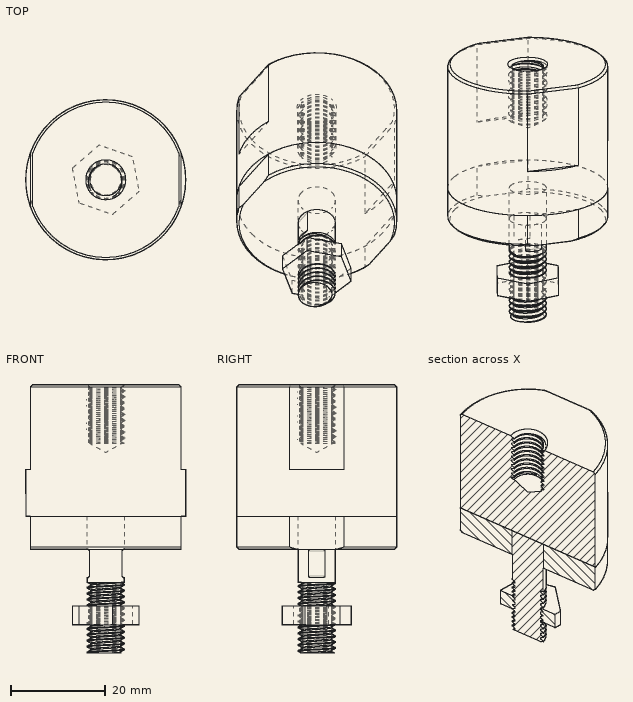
import cadquery as cq
import math

housing_height = 28.0
cap_height = 7.0
overall_height = 57.0
shank_exposed = 7.0

cap_top_z = -housing_height
cap_bottom_z = cap_top_z - cap_height
thread_top_z = cap_bottom_z - shank_exposed
stud_bottom_z = -overall_height

body_diameter = 34.0
body_across_flats = 32.0
housing_flat_height = 18.0
edge_chamfer = 0.5

pitch = 1.25
flank_half_angle = math.radians(30)
outer_major = 7.87
outer_pitch_diameter = 7.10
outer_minor = 6.45
inner_major = 8.17
inner_pitch_diameter = 7.19
inner_minor = 6.78
cut_past_surface = 0.1
groove_offset = 0.125

countersink_diameter = 8.5
cone_half_angle = math.radians(60)
tapped_length = 12.0

wrench_across_flats = 7.0
wrench_flat_length = 6.0
wrench_flat_fillet = 0.33

nut_across_flats = 13.0
nut_height = 4.0
thread_below_nut = 6.0
nut_bottom_z = stud_bottom_z + thread_below_nut
nut_corner_angle = 40.9


def cylinder(diameter, bottom_z, top_z):
    return cq.Workplane().workplane(offset=bottom_z).circle(diameter / 2).extrude(top_z - bottom_z)


def flat_sided_bar(across_flats, bottom_z, top_z):
    """A wide bar whose -X and +X faces are a pair of flats."""
    height = top_z - bottom_z
    centre_z = (top_z + bottom_z) / 2
    return cq.Workplane().box(across_flats, 2 * body_diameter, height).translate((0, 0, centre_z))


def helical_ridge(inner_radius, inner_width, outer_radius, outer_width, start_z, height):
    """A right-hand helical strip of trapezoid section, centred on start_z at the +X side."""
    corners = [
        (inner_radius, -inner_width / 2),
        (outer_radius, -outer_width / 2),
        (outer_radius, outer_width / 2),
        (inner_radius, inner_width / 2),
    ]
    edges = [
        cq.Wire.makeHelix(pitch, height, radius).translate(cq.Vector(0, 0, start_z + offset))
        for radius, offset in corners
    ]
    next_edges = edges[1:] + edges[:1]
    sides = [cq.Face.makeRuledSurface(edge, other) for edge, other in zip(edges, next_edges)]
    start_outline = cq.Wire.makePolygon([edge.startPoint() for edge in edges], close=True)
    end_outline = cq.Wire.makePolygon([edge.endPoint() for edge in edges], close=True)
    ends = [cq.Face.makeFromWires(start_outline), cq.Face.makeFromWires(end_outline)]
    return cq.Workplane(cq.Solid.makeSolid(cq.Shell.makeShell(sides + ends)))


def outer_thread_groove(start_z, height):
    """Groove that cuts a male thread: narrow at the root, opening outwards."""
    root = outer_minor / 2
    mouth = outer_major / 2 + cut_past_surface

    def width(radius):
        return pitch / 2 + 2 * (radius - outer_pitch_diameter / 2) * math.tan(flank_half_angle)

    return helical_ridge(root, width(root), mouth, width(mouth), start_z, height)


def inner_thread_groove(start_z, height):
    """Groove that cuts a female thread: narrow at the root, opening inwards."""
    root = inner_major / 2
    mouth = inner_minor / 2 - cut_past_surface

    def width(radius):
        return pitch / 2 + 2 * (inner_pitch_diameter / 2 - radius) * math.tan(flank_half_angle)

    return helical_ridge(mouth, width(mouth), root, width(root), start_z, height)


def make_housing():
    body = cylinder(body_diameter, cap_top_z, 0)
    upper_part = cylinder(body_diameter, -housing_flat_height, 0)
    flats = upper_part.cut(flat_sided_bar(body_across_flats, -housing_flat_height, 0))
    body = body.cut(flats).faces(">Z").chamfer(edge_chamfer)

    hole_radius = inner_minor / 2
    countersink_radius = countersink_diameter / 2
    thread_top = -(countersink_radius - hole_radius) / math.tan(cone_half_angle)
    thread_bottom = thread_top - tapped_length
    hole_tip = thread_bottom - hole_radius / math.tan(cone_half_angle)
    hole = cq.Workplane("XZ").polyline([
        (0, 0),
        (countersink_radius, 0),
        (hole_radius, thread_top),
        (hole_radius, thread_bottom),
        (0, hole_tip),
    ]).close().revolve(360, (0, 0), (0, 1))

    groove = inner_thread_groove(thread_bottom - groove_offset, tapped_length + pitch)
    groove = groove.intersect(cylinder(body_diameter, thread_bottom, thread_top))
    return body.cut(hole).cut(groove)


def make_cap():
    disc = cylinder(body_diameter, cap_bottom_z, cap_top_z).faces("<Z").chamfer(edge_chamfer)
    flatted = disc.intersect(flat_sided_bar(body_across_flats, cap_bottom_z, cap_top_z))
    return flatted.cut(cylinder(outer_major, cap_bottom_z, cap_top_z))


def wrench_recess(side):
    """Rounded-corner recess that leaves one wrench flat on the +X (1) or -X (-1) side."""
    centre_x = side * (wrench_across_flats / 2 + outer_major / 2)
    centre_z = cap_bottom_z - wrench_flat_length / 2
    recess = cq.Workplane().box(outer_major, outer_major, wrench_flat_length)
    return recess.edges("|Y").fillet(wrench_flat_fillet).translate((centre_x, 0, centre_z))


def make_stud():
    shank = cylinder(outer_major, thread_top_z, cap_top_z)
    shank = shank.cut(wrench_recess(1)).cut(wrench_recess(-1))

    threaded = cylinder(outer_major, stud_bottom_z, thread_top_z)
    groove_start = stud_bottom_z + groove_offset - pitch
    groove_height = thread_top_z - stud_bottom_z + 2 * pitch
    threaded = threaded.cut(outer_thread_groove(groove_start, groove_height))
    return shank.union(threaded)


def make_nut(threaded_stud):
    """Hexagonal nut whose thread fits the stud that passes through it."""
    across_corners = nut_across_flats / math.cos(math.pi / 6)
    blank = (
        cq.Workplane().polygon(6, across_corners).extrude(nut_height)
        .rotate((0, 0, 0), (0, 0, 1), nut_corner_angle)
        .translate((0, 0, nut_bottom_z))
    )
    return blank.cut(threaded_stud)


housing = make_housing()
cap = make_cap()
stud = make_stud()
nut = make_nut(stud)

bodies = [housing, cap, stud, nut]
result = cq.Compound.makeCompound([body.solids().val() for body in bodies])